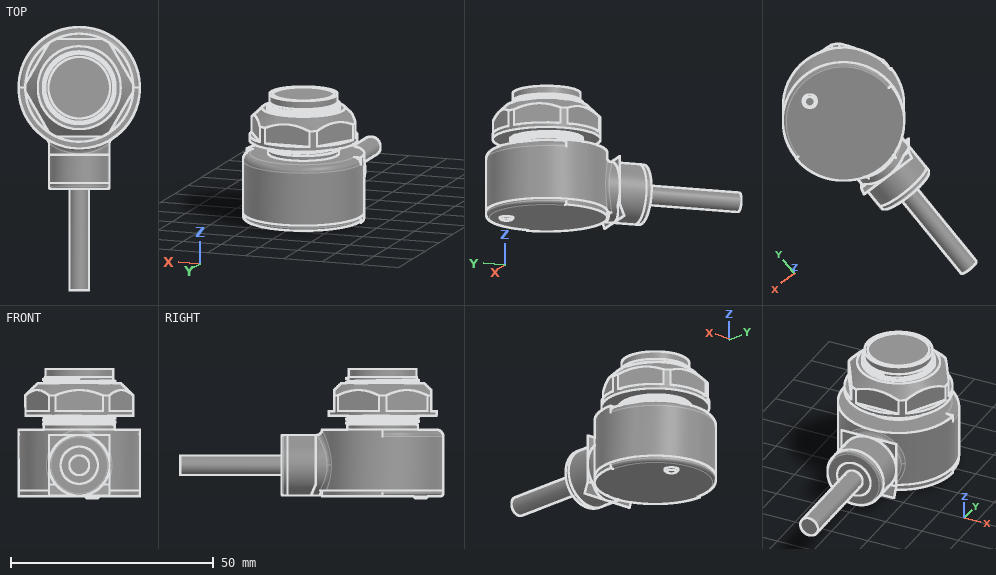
import cadquery as cq
import math

body_radius = 15.0
body_top = 16.5
cover_thickness = 1.5
top_edge_radius = 1.75
bottom_edge_radius = 0.85

relief_radius = 8.78
relief_top = 17.7
thread_root_radius = 8.45
thread_inner_radius = 8.3
thread_crest_radius = 9.0
thread_inner_width = 0.84
thread_crest_width = 0.15
thread_pitch = 1.0
thread_turns = 11.25
thread_start = 17.85
thread_top = 29.5
face_radius = 8.4
face_top = 31.5
face_recess_radius = 7.6
face_recess_depth = 0.1

neck_radius = 7.5
neck_axis_height = 7.7
neck_end = 25.0
neck_blend_radius = 1.25
cover_clearance_radius = 15.5

plate_distance = 16.5
plate_thickness = 0.05
plate_bend_height = 3.0
plate_flap_reach = 1.15

cap_thickness = 1.5
cap_edge_radius = 0.5
bushing_radius = 4.6
cable_radius = 2.45
cable_end = 50.0

button_x = 3.2
button_y = 9.4
button_base_radius = 1.75
button_tip_radius = 1.25
button_height = 0.5

nut_bottom = 19.85
nut_top = 27.95
nut_flange_thickness = 1.2
nut_flange_radius = 13.35
nut_across_flats = 24.0
nut_top_radius = 10.25
nut_cone_height = 3.0


def upright_cylinder(radius, bottom, top):
    return cq.Workplane("XY").workplane(offset=bottom).circle(radius).extrude(top - bottom)


def neck_cylinder(radius, start, end):
    """Cylinder on the cable axis, between two distances from the body axis towards -Y."""
    plane = cq.Plane(origin=(0, -start, neck_axis_height), xDir=(1, 0, 0), normal=(0, -1, 0))
    return cq.Workplane(plane).circle(radius).extrude(end - start)


def half_space(side):
    """Block that covers the +Y half (side 1) or the -Y half (side -1) of everything."""
    size = 2 * cable_end
    return cq.Workplane("XY").box(size, size, size).translate((0, side * size / 2, 0))


def half_rounded_disc(bottom, top, edge, edge_radius):
    """Disc whose edge is rounded on its +Y half and sharp on its -Y half."""
    disc = upright_cylinder(body_radius, bottom, top)
    rear_space = half_space(1)
    rear = disc.edges(edge).fillet(edge_radius).intersect(rear_space)
    return disc.cut(rear_space).union(rear)


def make_thread():
    """Right-hand helical ridge that starts on the -X side and ends on the -Y side."""
    path = cq.Wire.makeHelix(thread_pitch, thread_turns * thread_pitch, thread_root_radius)
    profile = (
        cq.Workplane("XZ")
        .moveTo(thread_inner_radius, -thread_inner_width / 2)
        .lineTo(thread_crest_radius, -thread_crest_width / 2)
        .lineTo(thread_crest_radius, thread_crest_width / 2)
        .lineTo(thread_inner_radius, thread_inner_width / 2)
        .close()
    )
    ridge = profile.sweep(cq.Workplane(obj=path), isFrenet=True)
    return ridge.rotate((0, 0, 0), (0, 0, 1), 180).translate((0, 0, thread_start))


def make_threaded_neck():
    relief = upright_cylinder(relief_radius, body_top, relief_top)
    core = upright_cylinder(thread_root_radius, relief_top, thread_top)
    rim = upright_cylinder(face_radius, thread_top, face_top)
    recess = upright_cylinder(face_recess_radius, face_top - face_recess_depth, face_top)
    return core.union(make_thread()).union(rim).union(relief).cut(recess)


def make_cable_neck():
    """Cable neck, blended into the round body above the cover and cut clear of the cover below it."""
    neck = neck_cylinder(neck_radius, body_radius / 2, neck_end - cap_thickness)
    tall_body = upright_cylinder(body_radius, -body_top, 2 * body_top)
    junction = cq.selectors.BoxSelector(
        (-body_radius, -body_radius - 0.1, -body_top),
        (body_radius, -body_radius / 2, 2 * body_top - 1),
        boundingbox=True,
    )
    blended = tall_body.union(neck).edges(junction).fillet(neck_blend_radius)
    above_cover = upright_cylinder(2 * neck_end, cover_thickness, body_top)
    clearance = upright_cylinder(cover_clearance_radius, -body_top, cover_thickness)
    return blended.intersect(above_cover).intersect(half_space(-1)).union(neck.cut(clearance))


def make_plate():
    """Plate as wide as the cable neck, upright at the top and bent outwards at the bottom."""
    top = neck_axis_height + neck_radius
    bottom = neck_axis_height - neck_radius
    outer = -plate_distance - plate_thickness
    return (
        cq.Workplane("YZ")
        .moveTo(-plate_distance, top)
        .lineTo(-plate_distance, plate_bend_height)
        .lineTo(-plate_distance - plate_flap_reach, bottom)
        .lineTo(outer - plate_flap_reach, bottom)
        .lineTo(outer, plate_bend_height)
        .lineTo(outer, top)
        .close()
        .extrude(neck_radius, both=True)
    )


def make_housing():
    body = half_rounded_disc(cover_thickness, body_top, ">Z", top_edge_radius)
    return body.union(make_cable_neck()).union(make_plate()).union(make_threaded_neck())


def make_cover():
    disc = half_rounded_disc(0, cover_thickness, "<Z", bottom_edge_radius)
    button = (
        cq.Workplane("XY")
        .center(button_x, button_y)
        .circle(button_base_radius)
        .workplane(offset=-button_height)
        .circle(button_tip_radius)
        .loft()
    )
    return disc.union(button)


def make_nut():
    flange_top = nut_bottom + nut_flange_thickness
    corner_diameter = nut_across_flats / math.cos(math.radians(30))
    hexagon = (
        cq.Workplane("XY")
        .workplane(offset=flange_top)
        .polygon(6, corner_diameter)
        .extrude(nut_top - flange_top)
    )
    turned_blank = (
        cq.Workplane("XZ")
        .moveTo(0, nut_bottom)
        .lineTo(nut_flange_radius, nut_bottom)
        .lineTo(nut_flange_radius, nut_top - nut_cone_height)
        .lineTo(nut_top_radius, nut_top)
        .lineTo(0, nut_top)
        .close()
        .revolve(360, (0, 0, 0), (0, 1, 0))
    )
    flange = upright_cylinder(nut_flange_radius, nut_bottom, flange_top)
    bore = upright_cylinder(thread_crest_radius, nut_bottom, nut_top)
    return hexagon.intersect(turned_blank).union(flange).cut(bore)


def make_cap():
    cap = neck_cylinder(neck_radius, neck_end - cap_thickness, neck_end)
    cap = cap.edges("<Y").fillet(cap_edge_radius)
    return cap.cut(neck_cylinder(bushing_radius, neck_end - cap_thickness, neck_end))


def make_bushing():
    bushing = neck_cylinder(bushing_radius, neck_end - cap_thickness, neck_end)
    return bushing.cut(neck_cylinder(cable_radius, neck_end - cap_thickness, neck_end))


def make_cable():
    return neck_cylinder(cable_radius, neck_end - cap_thickness, cable_end)


housing = make_housing()
cover = make_cover()
nut = make_nut()
cap = make_cap()
bushing = make_bushing()
cable = make_cable()

bodies = [housing, cover, nut, cap, bushing, cable]
result = cq.Compound.makeCompound([body.solids().val() for body in bodies])